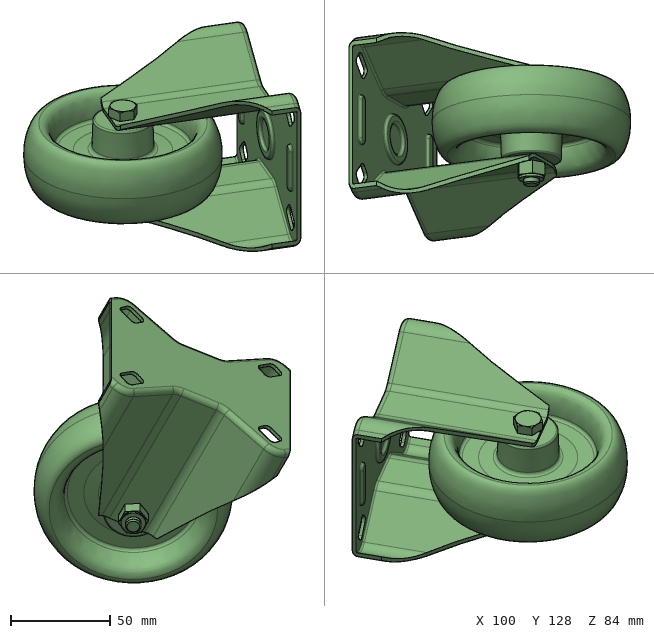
import cadquery as cq
import math


sheet = 1.9
overall_depth = 128.0
plate_width = 100.0
wheel_radius = plate_width / 2
plate_back = overall_depth - wheel_radius
leg_gap_half = 20.2
web_half = 9.9
valley_radius = 7.7
lobe_radius = 9.7
lobe_x = 42.2
lobe_top = 42.0
plate_bend_outer = 3.0
plate_bend_inner = plate_bend_outer - sheet

plate_front = plate_back - sheet
leg_outer = leg_gap_half + sheet

leg_edge = [(plate_width / 2, 62.7), (36.4, 40.2), (23.0, 10.2), (16.3, -6.4)]
leg_end = -7.2

slot_x = 38.7
slot_z = 28.7
slot_length = 12.2
slot_width = 9.0
slot_corner = 2.5
slot_angle = 43

bead_height = 1.7
bead_crest_fillet = 1.3
bead_base_fillet = 0.3
bead_x = 40.0
bead_length = 25.9
bead_width = 5.6
ring_outer = 12.9
ring_inner = 7.8

rim_half = 17.5
rim_crest = 42.4
wall_base = 34.8
web_fillet = 1.7
web_half_thickness = 2.8
cone_outer = 25.0
cone_inner = 17.5
cone_rise = 0.5
hub_base = 15.6
hub_radius = 15.1
hub_half = 20.1
hub_base_fillet = cone_inner - hub_base
hub_rounding = 0.9

bolt_radius = 4.0
across_flats = 13.0
head_height = 5.2
nut_height = 6.7
collar_height = 1.3
collar_radius = 6.3
bolt_tip = -33.0
bolt_tip_chamfer = 0.8
hex_corner_slope = math.radians(30)


def bend_angle():
    """Slope of the wings: the line tangent to the valley arc and the lobe arc."""
    dx = lobe_x - web_half
    dz = (lobe_top - lobe_radius) - (leg_outer + valley_radius)
    return math.atan2(dz, dx) + math.asin((valley_radius + lobe_radius) / math.hypot(dx, dz))


def section_quarter(offset, side_x):
    """Valley arc, lobe arc and side corner of the +X +Z quarter, offset inward from the outer face."""
    angle = bend_angle()
    valley = valley_radius + offset
    lobe = lobe_radius - offset
    valley_z = leg_outer + valley_radius
    lobe_z = lobe_top - lobe_radius

    def on_valley(a):
        return (web_half + valley * math.sin(a), valley_z - valley * math.cos(a))

    def on_lobe(a):
        return (lobe_x + lobe * math.sin(a), lobe_z + lobe * math.cos(a))

    wing_end = on_lobe(angle)
    side = (side_x, wing_end[1] - (side_x - wing_end[0]) * math.tan(angle))
    valley_arc = [on_valley(0), on_valley(angle / 2), on_valley(angle)]
    lobe_arc = [on_lobe(-angle), on_lobe(0), wing_end]
    return valley_arc, lobe_arc, side


def leg_section(offset, side_x, y_from, y_to):
    """Prism along Y bounded above and below by the leg faces, offset inward from the outer face."""
    valley_arc, lobe_arc, side_corner = section_quarter(offset, side_x)

    def add_quarter(sketch, sx, sz, outward):
        """Continue the outline from the middle to the side, or back from the side."""
        valley = [(sx * x, sz * z) for x, z in valley_arc]
        lobe = [(sx * x, sz * z) for x, z in lobe_arc]
        side = (sx * side_corner[0], sz * side_corner[1])
        if outward:
            sketch = sketch.lineTo(*valley[0]).threePointArc(valley[1], valley[2])
            return sketch.lineTo(*lobe[0]).threePointArc(lobe[1], lobe[2]).lineTo(*side)
        sketch = sketch.lineTo(*side).lineTo(*lobe[2]).threePointArc(lobe[1], lobe[0])
        return sketch.lineTo(*valley[2]).threePointArc(valley[1], valley[0])

    start_x, start_z = valley_arc[0]
    sketch = cq.Workplane("XZ", origin=(0, y_from, 0)).moveTo(-start_x, start_z)
    for sx, sz, outward in ((1, 1, True), (1, -1, False), (-1, -1, True), (-1, 1, False)):
        sketch = add_quarter(sketch, sx, sz, outward)
    return sketch.close().extrude(y_from - y_to)


def bent_sheet():
    """Plate and both legs as one bent sheet, before trimming."""
    overrun = 6.4
    half_width = plate_width / 2
    body = leg_section(0, half_width, plate_back, leg_end)
    body = body.faces(">Y").edges("not(<X or >X)").fillet(plate_bend_outer)
    cavity = leg_section(sheet, half_width + overrun, plate_front, leg_end - overrun)
    cavity = cavity.faces(">Y").edges("not(<X or >X)").fillet(plate_bend_inner)
    return body.cut(cavity)


def leg_outline():
    """Prism along Z that keeps the tapered shape of the legs."""
    half_width = plate_width / 2
    left_edge = [(-x, y) for x, y in reversed(leg_edge)]
    return (
        cq.Workplane("XY", origin=(0, 0, -lobe_top))
        .moveTo(half_width, plate_back)
        .lineTo(*leg_edge[0])
        .spline(leg_edge[1:], includeCurrent=True)
        .lineTo(web_half, leg_end)
        .lineTo(-web_half, leg_end)
        .lineTo(*left_edge[0])
        .spline(left_edge[1:], includeCurrent=True)
        .lineTo(-half_width, plate_back)
        .close()
        .extrude(2 * lobe_top)
    )


def mounting_slot(sx, sz):
    """Tilted slot cutter in the plate corner given by the signs of X and Z."""
    x = sx * slot_x
    z = sz * slot_z
    slot = cq.Workplane("XZ", origin=(x, plate_back, z)).rect(slot_length, slot_width).extrude(sheet)
    slot = slot.edges("|Y").fillet(slot_corner)
    return slot.rotate((x, 0, z), (x, -1, z), sx * sz * slot_angle)


def add_beads(bracket):
    """Two straight beads and a ring bead on the inner face of the plate."""
    face = cq.Workplane("XZ", origin=(0, plate_front, 0))
    centres = [(-bead_x, 0), (bead_x, 0)]
    straight = face.pushPoints(centres).slot2D(bead_length, bead_width, 90).extrude(bead_height)
    ring = face.circle(ring_outer).circle(ring_inner).extrude(bead_height)
    for bead in (straight, ring):
        bracket = bracket.union(bead.faces("<Y").edges().fillet(bead_crest_fillet))
    margin = 0.6
    base_edges = cq.selectors.BoxSelector(
        (-bead_x - bead_width, plate_front - margin, -bead_length / 2 - margin),
        (bead_x + bead_width, plate_front + margin, bead_length / 2 + margin),
    )
    return bracket.edges(base_edges).fillet(bead_base_fillet)


def make_bracket():
    bracket = bent_sheet().intersect(leg_outline())
    for sx in (1, -1):
        for sz in (1, -1):
            bracket = bracket.cut(mounting_slot(sx, sz))
    bracket = add_beads(bracket)
    axle_hole = cq.Workplane("XY", origin=(0, 0, -lobe_top)).circle(bolt_radius).extrude(2 * lobe_top)
    return bracket.cut(axle_hole)


def make_wheel():
    wall_z = web_half_thickness + web_fillet
    tread_depth = wheel_radius - rim_crest
    wall_depth = rim_crest - wall_base
    web_top = web_half_thickness + cone_rise

    half = (
        cq.Workplane("XZ")
        .moveTo(bolt_radius, 0)
        .lineTo(wheel_radius, 0)
        .ellipseArc(tread_depth, rim_half, 0, 90, startAtCurrent=True)
        .ellipseArc(wall_depth, rim_half - wall_z, 90, 180, startAtCurrent=True)
        .radiusArc((wall_base - web_fillet, web_half_thickness), web_fillet)
        .lineTo(cone_outer, web_half_thickness)
        .lineTo(cone_inner, web_top)
        .radiusArc((hub_base, web_top + hub_base_fillet), hub_base_fillet)
        .lineTo(hub_radius, hub_half - hub_rounding)
        .radiusArc((hub_radius - hub_rounding, hub_half), -hub_rounding)
        .lineTo(bolt_radius, hub_half)
        .close()
        .revolve(360, (0, 0, 0), (0, 1, 0))
    )
    return half.union(half.mirror("XY"))


def hexagon(z_from, height):
    """Hexagonal prism along Z with corners on the Y axis."""
    across_corners = across_flats / math.cos(math.pi / 6)
    prism = cq.Workplane("XY", origin=(0, 0, z_from)).polygon(6, across_corners).extrude(height)
    return prism.rotate((0, 0, 0), (0, 0, 1), 30)


def make_bolt():
    head_top = leg_outer + head_height
    head = hexagon(leg_outer, head_height)
    cone_radius = 2 * across_flats
    cone_drop = (cone_radius - across_flats / 2) * math.tan(hex_corner_slope)
    corner_cone = (
        cq.Workplane("XZ")
        .moveTo(0, head_top)
        .lineTo(across_flats / 2, head_top)
        .lineTo(cone_radius, head_top - cone_drop)
        .lineTo(0, head_top - cone_drop)
        .close()
        .revolve(360, (0, 0, 0), (0, 1, 0))
    )
    shank = cq.Workplane("XY", origin=(0, 0, bolt_tip)).circle(bolt_radius).extrude(leg_outer - bolt_tip)
    shank = shank.faces("<Z").chamfer(bolt_tip_chamfer)
    return head.intersect(corner_cone).union(shank)


def make_nut():
    nut_end = -leg_outer - nut_height
    collar = cq.Workplane("XY", origin=(0, 0, nut_end - collar_height)).circle(collar_radius).extrude(collar_height)
    nut = hexagon(nut_end, nut_height).union(collar)
    bore = cq.Workplane("XY", origin=(0, 0, bolt_tip)).circle(bolt_radius).extrude(-bolt_tip)
    return nut.cut(bore)


bracket = make_bracket()
wheel = make_wheel()
bolt = make_bolt()
nut = make_nut()

result = cq.Compound.makeCompound([bracket.val(), wheel.val(), bolt.val(), nut.val()])